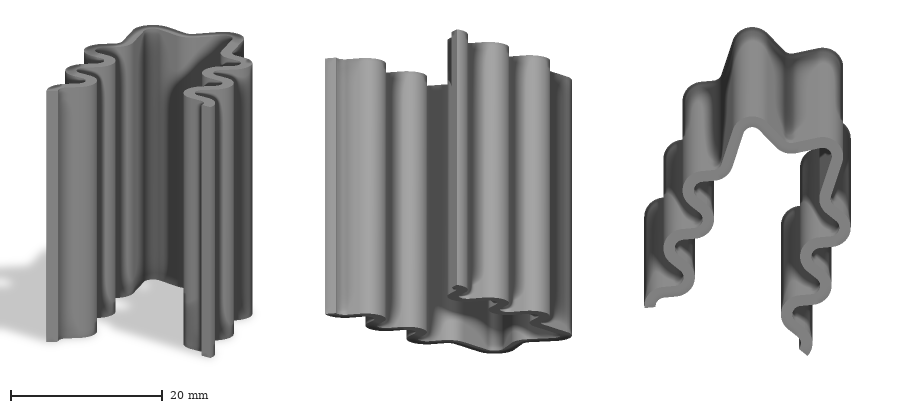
import cadquery as cq
import math

height = 35.0
overall_width = 23.0
sheet = 1.5
bend_radius = 1.95
half_pitch = 4.252
crest_count = 6
crown_slope = 30.0
top_y = 14.998
crown_to_first_crest = 7.7

outer_radius = bend_radius + sheet / 2
inner_radius = bend_radius - sheet / 2
leg_bend_x = overall_width / 2 - outer_radius
wall_x = leg_bend_x - bend_radius
shoulder_x = wall_x - bend_radius
shoulder_y = top_y - outer_radius
first_crest_y = top_y - crown_to_first_crest

slope = math.radians(crown_slope)
notch_y = shoulder_y + (2 * bend_radius - shoulder_x * math.sin(slope)) / math.cos(slope)

half_turn = math.degrees(math.asin(2 * bend_radius / half_pitch))
end_angle = -(90 - half_turn)


def polar(center, radius, degrees):
    angle = math.radians(degrees)
    return (center[0] + radius * math.cos(angle), center[1] + radius * math.sin(angle))


def leg_bends():
    """Bends of the right leg, from the shoulder down, as (centre, start angle, end angle)."""
    bends = [((shoulder_x, shoulder_y), 90 + crown_slope, 0)]
    for index in range(crest_count):
        center = (leg_bend_x, first_crest_y - index * half_pitch)
        if index == 0:
            bends.append((center, 180, 180 + half_turn))
        elif index == crest_count - 1:
            bends.append((center, half_turn, end_angle))
        elif index % 2:
            bends.append((center, half_turn, -half_turn))
        else:
            bends.append((center, 180 - half_turn, 180 + half_turn))
    return bends


def mirrored(bend):
    """The bend reflected in X = 0 and travelled the opposite way."""
    (x, y), start, end = bend
    return ((-x, y), 180 - end, 180 - start)


def face_arcs(bends, outside):
    """Three-point arcs of one face of the sheet; clockwise bends bulge to the outside."""
    arcs = []
    for center, start, end in bends:
        clockwise = end < start
        radius = outer_radius if clockwise == outside else inner_radius
        arcs.append([polar(center, radius, a) for a in (start, (start + end) / 2, end)])
    return arcs


right_leg = leg_bends()
left_leg = [mirrored(bend) for bend in reversed(right_leg)]
notch = ((0, notch_y), 270 - crown_slope, 270 + crown_slope)
strip = left_leg + [notch] + right_leg

outer_face = face_arcs(strip, True)
inner_face = [arc[::-1] for arc in reversed(face_arcs(strip, False))]
outline = outer_face + inner_face

profile = cq.Workplane("XY").moveTo(*outline[0][0])
for position, (start, middle, end) in enumerate(outline):
    if position > 0:
        profile = profile.lineTo(*start)
    profile = profile.threePointArc(middle, end)

result = profile.close().extrude(height)